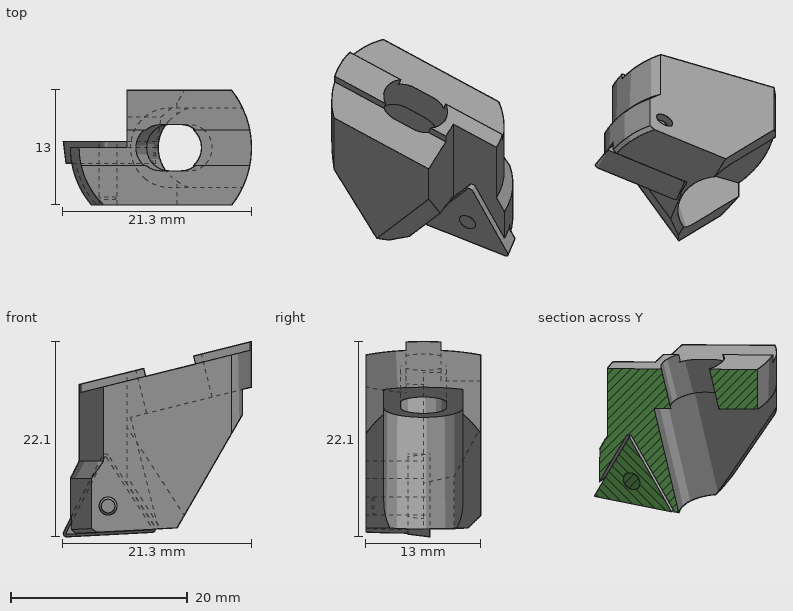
import cadquery as cq
import math


total_height = 22.12
half_width = 6.5
upper_radius = 9.0
lower_radius = 10.0
back_radius = 10.5
shoulder_bottom = 6.64
shoulder_top = 8.6
top_angle = 14.0
slope_angle = 60.0
bottom_angle = 3.0
heel_x = 2.08
heel_z = 1.02
bottom_chamfer = 0.45
step_x = -3.6

rail_half_width = 2.0
rail_height = 0.93

slot_radius = 2.6
slot_spacing = 2.41
slot_start_x = 0.18
counterbore_radius = 4.5
counterbore_depth = 4.1

corner_half_angle = 30.0
inscribed_radius = 3.19
nose_radius = 0.4
clearance_angle = 7.0
insert_x = -5.73
rake_y = 0.73
seat_y = -1.77

relief_distance = 3.23
relief_bend_y = 3.47
relief_bevel_angle = 45.0

screw_radius = 1.02
screw_lift = 0.07
screw_recess = 0.66
tip_chamfer = 0.25

reach = 2 * total_height


def tan_deg(angle):
    return math.tan(math.radians(angle))


rail_top_on_axis = total_height - back_radius * tan_deg(top_angle)
top_on_axis = rail_top_on_axis - rail_height / math.cos(math.radians(top_angle))
nose_distance = (inscribed_radius - nose_radius) / math.sin(math.radians(corner_half_angle))
insert_z = nose_radius + nose_distance * math.sin(math.radians(corner_half_angle + bottom_angle))


def block(x_min, x_max, y_min, y_max):
    """Upright block between the given limits, taller than the part."""
    size = (x_max - x_min, y_max - y_min, 2 * reach)
    centre = ((x_min + x_max) / 2, (y_min + y_max) / 2, 0)
    return cq.Workplane("XY").box(*size).translate(centre)


def rounded_blank():
    """Stepped round front half joined to the larger round back half."""
    front = (
        cq.Workplane("XZ")
        .moveTo(0, -reach)
        .lineTo(lower_radius, -reach)
        .lineTo(lower_radius, shoulder_bottom)
        .lineTo(upper_radius, shoulder_top)
        .lineTo(upper_radius, reach)
        .lineTo(0, reach)
        .close()
        .revolve(360, (0, 0), (0, 1))
        .intersect(block(-reach, 0, -reach, reach))
    )
    back = (
        cq.Workplane("XY", origin=(0, 0, -reach))
        .circle(back_radius)
        .extrude(2 * reach)
        .intersect(block(0, reach, -reach, reach))
    )
    return front.union(back)


def side_profile(height_on_axis, half_depth):
    """Prism between the bottom, the back slope and an inclined top of the given height at X = 0."""
    front_x = -back_radius
    back_x = heel_x + back_radius
    outline = [
        (front_x, heel_z + (front_x - heel_x) * tan_deg(bottom_angle)),
        (heel_x, heel_z),
        (back_x, heel_z + (back_x - heel_x) * tan_deg(slope_angle)),
        (back_x, height_on_axis + back_x * tan_deg(top_angle)),
        (front_x, height_on_axis + front_x * tan_deg(top_angle)),
    ]
    return cq.Workplane("XZ").polyline(outline).close().extrude(half_depth, both=True)


def stepped_body():
    """Flat-sided body with its rail, cut back to the middle plane in front of the step."""
    profile = side_profile(top_on_axis, half_width)
    rail = side_profile(rail_top_on_axis, rail_half_width)
    body = rounded_blank().intersect(profile.union(rail))
    body = body.cut(block(-reach, step_x, 0, reach))
    front_foot = cq.selectors.BoxSelector((-reach, -reach, 0), (step_x, reach, shoulder_bottom / 2))
    return body.edges(front_foot).edges("not(%LINE)").chamfer(bottom_chamfer)


def slot(radius, spacing, depth_from, depth_to):
    """Round-ended slot square to the inclined top, between two depths below that top."""
    start = cq.Vector(slot_start_x, 0, top_on_axis + slot_start_x * tan_deg(top_angle))
    angle = math.radians(top_angle)
    along_top = cq.Vector(math.cos(angle), 0, math.sin(angle))
    downward = cq.Vector(math.sin(angle), 0, -math.cos(angle))
    plane = cq.Plane(start + downward * depth_from, along_top, downward)
    return (
        cq.Workplane(plane)
        .center(spacing / 2, 0)
        .slot2D(spacing + 2 * radius, 2 * radius)
        .extrude(depth_to - depth_from)
    )


def relief():
    """Cut behind the middle plane: a wall parallel to the insert's upper flank, then a bevel."""
    angle = math.radians(corner_half_angle + bottom_angle)
    flank_normal = cq.Vector(math.cos(angle), 0, math.sin(angle))
    along_flank = cq.Vector(-math.sin(angle), 0, math.cos(angle))
    plane = cq.Plane(cq.Vector(insert_x, 0, insert_z), flank_normal, along_flank)
    bend = relief_distance + relief_bend_y * tan_deg(clearance_angle)
    bevel_end = bend + (reach - relief_bend_y) * tan_deg(relief_bevel_angle)
    outline = [
        (relief_distance, 0),
        (bend, relief_bend_y),
        (bevel_end, reach),
        (-reach, reach),
        (-reach, 0),
    ]
    return cq.Workplane(plane).polyline(outline).close().extrude(reach, both=True)


def screw_shank(length):
    """Cylinder on the screw axis, running from the rake face towards the front side."""
    start = (insert_x, rake_y, insert_z + screw_lift)
    return cq.Workplane("XZ", origin=start).circle(screw_radius).extrude(length)


def insert_prism(wall_angle):
    """Round-cornered triangle from rake face to seat, with walls that lean in by the given angle."""
    nose_angles = [math.radians(90 + bottom_angle + turn) for turn in (0, 120, 240)]
    nose_centres = [
        (nose_distance * math.cos(angle), nose_distance * math.sin(angle))
        for angle in nose_angles
    ]
    return (
        cq.Workplane("XZ", origin=(insert_x, rake_y, insert_z))
        .polyline(nose_centres)
        .close()
        .offset2D(nose_radius)
        .extrude(rake_y - seat_y, taper=wall_angle)
    )


def make_housing():
    """Body with its clamping slot, relief, straight-walled insert pocket and screw hole."""
    body = stepped_body()
    body = body.cut(slot(slot_radius, slot_spacing, -total_height, total_height))
    body = body.cut(slot(counterbore_radius, total_height, counterbore_depth, reach))
    body = body.cut(relief())
    body = body.cut(insert_prism(0))
    return body.cut(screw_shank(reach))


def make_insert():
    """Insert whose flanks lean in from the rake face, with a hole for the screw."""
    return insert_prism(clearance_angle).cut(screw_shank(reach))


def make_screw():
    """Plain screw, level with the rake face, whose chamfered tip stays below the front side."""
    shank = screw_shank(rake_y + half_width - screw_recess)
    return shank.faces("<Y").chamfer(tip_chamfer)


housing = make_housing()
insert = make_insert()
screw = make_screw()

result = cq.Compound.makeCompound([housing.val(), insert.val(), screw.val()])